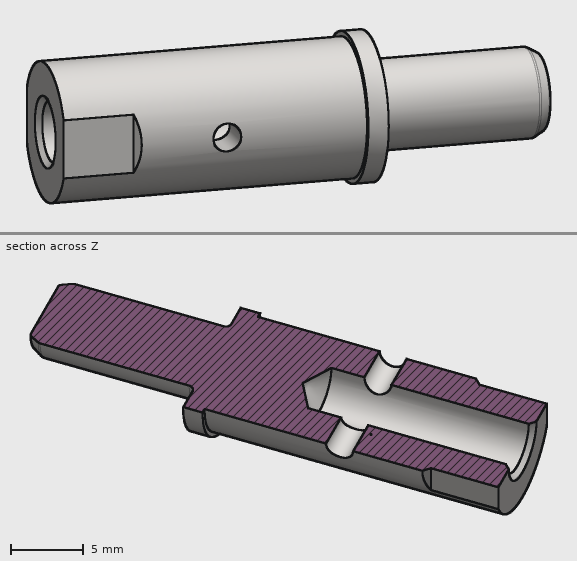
import cadquery as cq
import math

total_length = 35.4
face_y = -total_length / 2
tip_y = total_length / 2

flange_diameter = 10.55
flange_thickness = 1.45
body_diameter = 9.8
shank_diameter = 6.35
shank_length = 12.4

tip_diameter = 5.35
taper_length = 0.9
tip_edge_radius = 0.32
neck_fillet_radius = 0.4

across_flats = 8.9
flat_length = 5.0

bore_diameter = 4.2
mouth_diameter = 5.03
bore_depth = 15.0
drill_point_angle = 118.0

cross_hole_diameter = 2.0
cross_hole_distance = 11.58


def revolve_about_axis(points):
    """Revolve a closed (radius, y) outline about the Y axis."""
    return cq.Workplane("XY").polyline(points).close().revolve(360, (0, 0, 0), (0, 1, 0))


def make_turned_pin():
    """Body, flange and tapered shank."""
    flange_back_y = tip_y - shank_length
    flange_front_y = flange_back_y - flange_thickness
    taper_start_y = tip_y - taper_length
    pin = revolve_about_axis([
        (0, face_y),
        (body_diameter / 2, face_y),
        (body_diameter / 2, flange_front_y),
        (flange_diameter / 2, flange_front_y),
        (flange_diameter / 2, flange_back_y),
        (shank_diameter / 2, flange_back_y),
        (shank_diameter / 2, taper_start_y),
        (tip_diameter / 2, tip_y),
        (0, tip_y),
    ])
    shank_end = cq.selectors.BoxSelector(
        (-shank_diameter, taper_start_y - tip_edge_radius, -shank_diameter),
        (shank_diameter, tip_y + tip_edge_radius, shank_diameter),
    )
    pin = pin.edges("%CIRCLE").edges(shank_end).fillet(tip_edge_radius)
    neck = cq.selectors.BoxSelector(
        (-shank_diameter, flange_back_y - neck_fillet_radius, -shank_diameter),
        (shank_diameter, flange_back_y + neck_fillet_radius, shank_diameter),
    )
    neck_edge = pin.edges("%CIRCLE").edges(neck).edges(cq.selectors.RadiusNthSelector(0))
    return neck_edge.fillet(neck_fillet_radius)


def make_socket():
    """Bore cutter, from the countersunk mouth to the drill point."""
    mouth_depth = (mouth_diameter - bore_diameter) / 2
    point_length = bore_diameter / 2 / math.tan(math.radians(drill_point_angle / 2))
    return revolve_about_axis([
        (0, face_y),
        (mouth_diameter / 2, face_y),
        (bore_diameter / 2, face_y + mouth_depth),
        (bore_diameter / 2, face_y + bore_depth),
        (0, face_y + bore_depth + point_length),
    ])


def make_flat_cutter(side):
    """Cutter for one wrench flat; side is +1 or -1 along X."""
    flat_x = across_flats / 2
    outer_x = flange_diameter / 2
    flat_end_y = face_y + flat_length
    outline = [
        (side * flat_x, face_y),
        (side * outer_x, face_y),
        (side * outer_x, flat_end_y + outer_x - flat_x),
        (side * flat_x, flat_end_y),
    ]
    return (
        cq.Workplane("XY")
        .polyline(outline)
        .close()
        .extrude(body_diameter / 2, both=True)
    )


def make_cross_hole():
    """Cutter for the hole that passes through the body along X."""
    return (
        cq.Workplane("YZ")
        .center(face_y + cross_hole_distance, 0)
        .circle(cross_hole_diameter / 2)
        .extrude(body_diameter, both=True)
    )


result = make_turned_pin().cut(make_socket()).cut(make_cross_hole())
for side in (-1, 1):
    result = result.cut(make_flat_cutter(side))